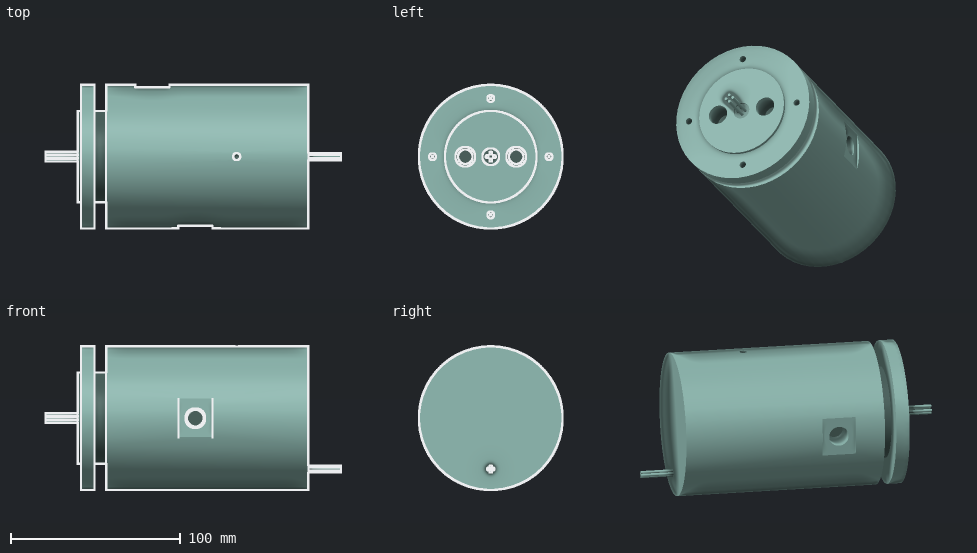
import cadquery as cq
import math

total_length = 174.4
pilot_start = 19.0
flange_start = 21.0
flange_end = 29.0
body_start = 35.8
body_end = 155.0

body_diameter = 85.0
neck_diameter = 54.0
body_radius = body_diameter / 2

port_diameter = 11.7
port_bore_depth = 14.0
port_cone_angle = 118
axial_port_floor_diameter = 8.5
axial_port_offset = 15.0
side_port_floor_diameter = 10.0

flat_length = 20.0
flat_width = 22.7
flat_distance = math.sqrt(body_radius**2 - (flat_width / 2) ** 2)
front_port_x = 88.5
rear_port_x = 63.1

screw_circle_radius = 34.4
screw_count = 4
screw_hole_diameter = 4.0
screw_hole_depth = 6.1
pilot_hole_diameter = 0.9

top_hole_x = 112.8
top_hole_diameter = 4.2
top_hole_depth = 6.1
drill_point_angle = 118

wire_diameter = 1.7
wire_count = 4
inlet_wire_circle_radius = 2.1
outlet_wire_circle_radius = 1.3
outlet_cable_z = -30.0
cable_recess_diameter = 10.0
cable_recess_depth = 0.9
wire_embed = 3.5


def cylinder(start, end, diameter, y=0.0, z=0.0):
    """Solid cylinder along X between two X positions."""
    return cq.Workplane(cq.Solid.makeCylinder(
        diameter / 2, end - start, cq.Vector(start, y, z), cq.Vector(1, 0, 0)))


def drilled_bore(mouth, direction, diameter, depth, end_diameter, cone_angle):
    """Cutter for a bore whose far end narrows along a cone to end_diameter (0 gives a point)."""
    axis = cq.Vector(*direction)
    start = cq.Vector(*mouth)
    cone_length = (diameter - end_diameter) / 2 / math.tan(math.radians(cone_angle / 2))
    bore = cq.Solid.makeCylinder(diameter / 2, depth, start, axis)
    cone = cq.Solid.makeCone(diameter / 2, end_diameter / 2, cone_length, start + axis * depth, axis)
    return cq.Workplane(bore).union(cq.Workplane(cone))


def circle_points(count, radius):
    """Evenly spaced (y, z) points on a circle around the X axis."""
    angles = [2 * math.pi * i / count for i in range(count)]
    return [(radius * math.cos(a), radius * math.sin(a)) for a in angles]


def make_housing():
    """Body and flange joined by a neck that also forms the raised pilot."""
    neck = cylinder(pilot_start, body_start, neck_diameter)
    flange = cylinder(flange_start, flange_end, body_diameter)
    body = cylinder(body_start, body_end, body_diameter)
    return body.union(neck).union(flange)


def cut_axial_port(housing, y):
    port = drilled_bore((pilot_start, y, 0), (1, 0, 0), port_diameter, port_bore_depth,
                        axial_port_floor_diameter, port_cone_angle)
    return housing.cut(port)


def cut_side_port(housing, x, side):
    """Flat with a port drilled into it, on the -Y (side = -1) or +Y (side = 1) face."""
    flat = cq.Workplane().box(flat_length, body_radius, body_diameter).translate(
        (x, side * (flat_distance + body_radius / 2), 0))
    port = drilled_bore((x, side * flat_distance, 0), (0, -side, 0), port_diameter, port_bore_depth,
                        side_port_floor_diameter, port_cone_angle)
    return housing.cut(flat).cut(port)


def cut_screw_holes(housing):
    """Blind screw holes in the flange, each with a fine pilot hole running on through it."""
    counterbore_end = flange_start + screw_hole_depth
    for y, z in circle_points(screw_count, screw_circle_radius):
        housing = housing.cut(cylinder(flange_start, counterbore_end, screw_hole_diameter, y, z))
        housing = housing.cut(cylinder(flange_start, flange_end, pilot_hole_diameter, y, z))
    return housing


def cut_top_hole(housing):
    hole = drilled_bore((top_hole_x, 0, body_radius), (0, 0, -1), top_hole_diameter, top_hole_depth,
                        0, drill_point_angle)
    return housing.cut(hole)


def cut_cable_recess(housing):
    return housing.cut(cylinder(pilot_start, pilot_start + cable_recess_depth, cable_recess_diameter))


def add_wires(housing, circle_radius, start, end, z_centre):
    """Bundle of parallel wires along X, spaced evenly on a circle."""
    for y, z in circle_points(wire_count, circle_radius):
        housing = housing.union(cylinder(start, end, wire_diameter, y, z_centre + z))
    return housing


result = make_housing()
for port_y in (-axial_port_offset, axial_port_offset):
    result = cut_axial_port(result, port_y)
result = cut_side_port(result, front_port_x, -1)
result = cut_side_port(result, rear_port_x, 1)
result = cut_screw_holes(result)
result = cut_top_hole(result)
result = cut_cable_recess(result)
result = add_wires(result, inlet_wire_circle_radius, 0, pilot_start + wire_embed, 0)
result = add_wires(result, outlet_wire_circle_radius, body_end - wire_embed, total_length, outlet_cable_z)